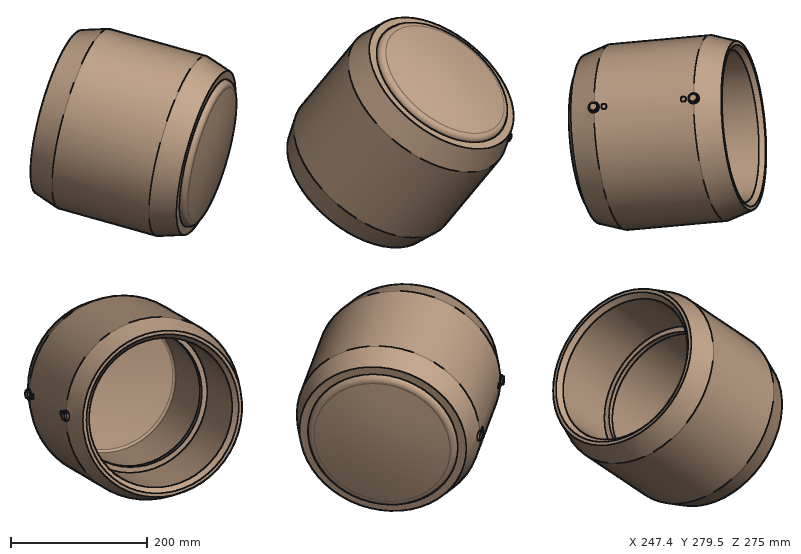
import cadquery as cq

body_length = 229.2
body_radius = 275.0 / 2
end_radius = 250.5 / 2
taper_length = 38.5
bore_radius = 225.0 / 2

mouth_radius = 239.3 / 2
mouth_depth = 7.8

stop_start = 111.8
stop_width = 8.5
stop_radius = 208.2 / 2
stop_end = stop_start + stop_width

cap_inner_radius = 212.5 / 2
inner_corner = 3.5
cap_shoulder = 9.0
cap_height = 18.2
cap_wall = 8.5
cap_corner_radius = bore_radius - 10.0
shoulder_x = body_length + cap_shoulder
cap_tip_x = body_length + cap_height

terminal_radius = 12.0 / 2
terminal_top = body_radius + 4.5
collar_radius = 16.0 / 2
collar_top = body_radius + 1.5
indicator_radius = 8.0 / 2
indicator_offset = 15.5
root_radius = body_radius - 8.5


def revolve_about_x(profile):
    return profile.close().revolve(360, (0, 0, 0), (1, 0, 0))


def dome_mid_radius(rim_x, rim_radius, tip_x):
    """Radius of a dome arc at half of its rise."""
    rise = tip_x - rim_x
    sphere_radius = (rim_radius**2 + rise**2) / (2 * rise)
    return (sphere_radius**2 - (sphere_radius - rise / 2) ** 2) ** 0.5


def make_outside():
    dome_mid = (
        (shoulder_x + cap_tip_x) / 2,
        dome_mid_radius(shoulder_x, cap_corner_radius, cap_tip_x),
    )
    return revolve_about_x(
        cq.Workplane("XY")
        .lineTo(0, end_radius)
        .lineTo(taper_length, body_radius)
        .lineTo(body_length - taper_length, body_radius)
        .lineTo(body_length, end_radius)
        .lineTo(body_length, bore_radius)
        .radiusArc((shoulder_x, cap_corner_radius), cap_shoulder)
        .threePointArc(dome_mid, (cap_tip_x, 0))
    )


def make_inside():
    inner_tip_x = cap_tip_x - cap_wall
    inner_rim_x = shoulder_x - cap_wall
    inner_rim_radius = cap_inner_radius - inner_corner
    dome_mid = (
        (inner_rim_x + inner_tip_x) / 2,
        dome_mid_radius(inner_rim_x, inner_rim_radius, inner_tip_x),
    )
    return revolve_about_x(
        cq.Workplane("XY")
        .lineTo(0, mouth_radius)
        .lineTo(mouth_depth, bore_radius)
        .lineTo(stop_start, bore_radius)
        .lineTo(stop_start, stop_radius)
        .lineTo(stop_end, stop_radius)
        .lineTo(stop_end, cap_inner_radius)
        .lineTo(inner_rim_x - inner_corner, cap_inner_radius)
        .radiusArc((inner_rim_x, inner_rim_radius), inner_corner)
        .threePointArc(dome_mid, (inner_tip_x, 0))
    )


def make_stud(x, radius, top):
    """Round stud pointing along +Y, rooted in the sleeve wall."""
    root = cq.Workplane("XZ", origin=(x, root_radius, 0))
    return root.circle(radius).extrude(root_radius - top)


result = make_outside().cut(make_inside())

for terminal_x, inward in ((taper_length, 1), (body_length - taper_length, -1)):
    indicator_x = terminal_x + inward * indicator_offset
    result = result.union(make_stud(terminal_x, collar_radius, collar_top))
    result = result.union(make_stud(terminal_x, terminal_radius, terminal_top))
    result = result.union(make_stud(indicator_x, indicator_radius, collar_top))